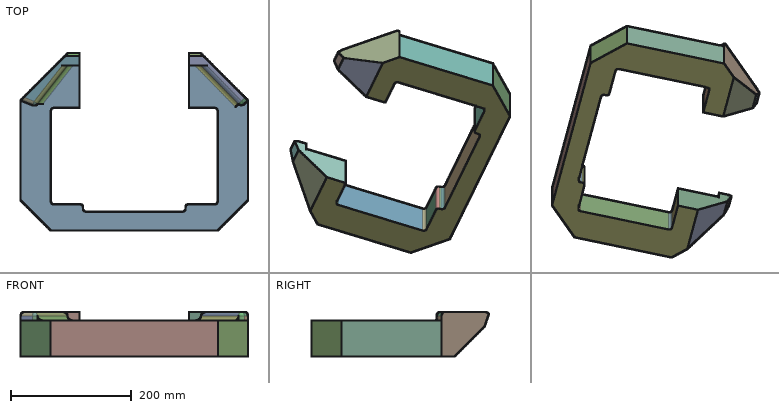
import cadquery as cq
import math

half_width = 188.3
depth = 294.0
height = 73.8
base_height = 60.0
corner_chamfer = 50.0

opening_half_width = 137.8
opening_back_y = 43.5
opening_front_y = 203.0
mouth_half_width = 90.5
recess_half_width = 84.7
recess_back_y = 31.5
opening_radius = 5.0

jaw_shoulder_y = 215.5
jaw_tip_half_width = half_width - (depth - jaw_shoulder_y)
tip_z = 70.8
tip_top_y = 289.0
tip_bottom_y = 287.0
tip_underside = 50.0

lip_step_y = 273.0
lip_height = height - base_height
lip_radius = lip_height / 2
lip_wall_step_x = 110.5
left_lip_corner = (-163.5, 205.2)
left_root_end_y = 209.5
right_lip_width = 15.5
right_lip_corner = (
    half_width - right_lip_width / math.sqrt(2),
    jaw_shoulder_y - right_lip_width / math.sqrt(2),
)


def frame(plate_height):
    """C-shaped frame with chamfered outer corners and rounded opening corners."""
    right_outer = [
        (half_width - corner_chamfer, 0),
        (half_width, corner_chamfer),
        (half_width, jaw_shoulder_y),
        (jaw_tip_half_width, depth),
    ]
    left_outer = [(-x, y) for x, y in reversed(right_outer)]
    body = cq.Workplane("XY").polyline(right_outer + left_outer).close().extrude(plate_height)
    right_opening = [
        (recess_half_width, recess_back_y),
        (recess_half_width, opening_back_y),
        (opening_half_width, opening_back_y),
        (opening_half_width, opening_front_y),
    ]
    left_opening = [(-x, y) for x, y in reversed(right_opening)]
    opening = cq.Workplane("XY").polyline(right_opening + left_opening).close().extrude(plate_height)
    opening = opening.edges("|Z").fillet(opening_radius)
    mouth = (
        cq.Workplane("XY")
        .rect(2 * mouth_half_width, 2 * (depth - opening_front_y))
        .extrude(plate_height)
        .translate((0, depth, 0))
    )
    return body.cut(opening).cut(mouth)


def span_box(y_min, y_max):
    """Full-width, full-height block between two Y positions."""
    block = cq.Workplane("XY").box(2 * half_width, y_max - y_min, height, centered=(True, False, False))
    return block.translate((0, y_min, 0))


def lip(side, corner, root_end_y=None):
    """Raised bar along a jaw with a round crest, a ball corner and a concave root."""
    wall_x = side * lip_wall_step_x - corner[0]
    wall_y = lip_step_y - corner[1]
    reach = (depth - corner[1]) / wall_y
    far_point = (corner[0] + reach * wall_x, depth)
    outline = [(side * half_width, jaw_shoulder_y), corner, far_point, (side * jaw_tip_half_width, depth)]
    bar = cq.Workplane("XY", origin=(0, 0, base_height)).polyline(outline).close().extrude(lip_height)

    def midpoint(start, end, z):
        return ((start[0] + end[0]) / 2, (start[1] + end[1]) / 2, z)

    rounded = bar.edges(cq.selectors.NearestToPointSelector((*corner, base_height + lip_height / 2)))
    for start, end in zip(outline[:2], outline[1:3]):
        top_edge = cq.selectors.NearestToPointSelector(midpoint(start, end, height))
        rounded = rounded.add(bar.edges(top_edge))
    bar = rounded.fillet(lip_radius)

    wall_length = math.hypot(wall_x, wall_y)
    end_x = side * half_width - corner[0]
    end_y = jaw_shoulder_y - corner[1]
    corner_cosine = (wall_x * end_x + wall_y * end_y) / (wall_length * math.hypot(end_x, end_y))
    tangent_length = lip_radius / math.tan(math.acos(corner_cosine) / 2)
    root_start = 0 if root_end_y else tangent_length
    across = cq.Vector(-side * wall_y, side * wall_x, 0).normalized()
    along = cq.Vector(wall_x, wall_y, 0).normalized()
    origin = cq.Vector(*corner, base_height) + along * root_start
    plane = cq.Plane(origin=origin, xDir=across, normal=along)
    up = plane.yDir.z
    arc_offset = lip_radius * (1 - math.sqrt(0.5))
    root = (
        cq.Workplane(plane)
        .moveTo(0, 0)
        .lineTo(lip_radius, 0)
        .threePointArc((arc_offset, up * arc_offset), (0, up * lip_radius))
        .close()
        .extrude(reach * wall_length)
    )
    return bar.union(root.intersect(span_box(root_end_y or 0, depth))).intersect(span_box(0, lip_step_y))


def tip_profile():
    """Side outline that slopes the front ends of both jaws."""
    outline = [
        (0, 0),
        (tip_bottom_y - tip_underside, 0),
        (tip_bottom_y, tip_underside),
        (depth, tip_z),
        (tip_top_y, height),
        (0, height),
    ]
    return cq.Workplane("YZ").polyline(outline).close().extrude(half_width, both=True)


jaw_tips = frame(height).intersect(span_box(lip_step_y, depth))
left_lip = lip(-1, left_lip_corner, left_root_end_y)
right_lip = lip(1, right_lip_corner)
result = frame(base_height).union(jaw_tips).union(left_lip).union(right_lip).intersect(tip_profile())